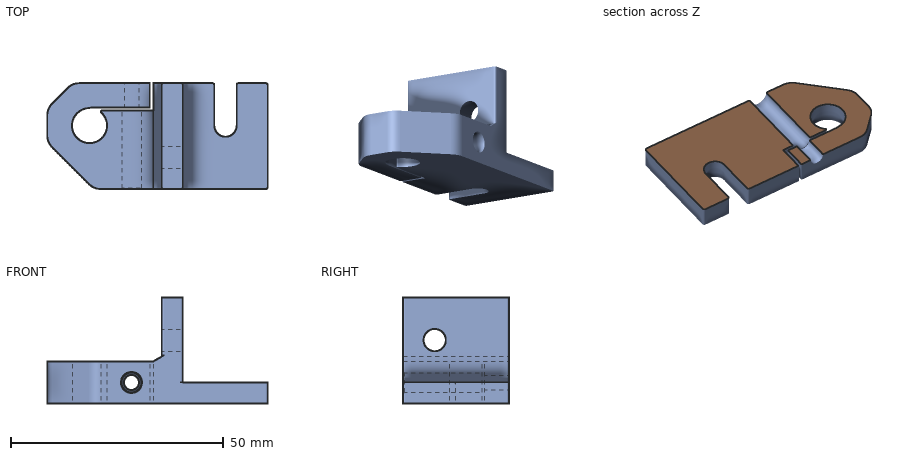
import cadquery as cq
import math

length = 52.0
width = 25.0
height = 25.0

block_height = 10.0
plate_height = 5.0
wall_x = 27.0
wall_thickness = 5.0
wall_end_x = wall_x + wall_thickness
edge_radius = 0.5

foot_x = 25.0
foot_rise = 1.15

front_corner = 11.0
back_corner = 6.0
corner_radius = 4.0

bore_x = 10.0
bore_y = 15.0
bore_diameter = 8.2
slit_width = 0.6
slit_step = 0.1
slit_back_y = bore_y + bore_diameter / 2 + slit_step
slit_lead_in = 0.35
slit_front_y = slit_back_y - slit_width
arm_gap = 0.8
lip_radius = 0.3

screw_x = 19.85
screw_z = block_height / 2
screw_clearance_diameter = 4.7
screw_arm_diameter = 3.5
screw_rim_diameter = 5.0
screw_rim_depth = 0.3

mount_diameter = 5.2
wall_hole_y = 7.5
wall_hole_z = 15.0
slot_x = 42.0
slot_end_y = 15.0


def box(x_min, x_max, y_min, y_max, z_max):
    """Box standing on the bottom plane."""
    size_x = x_max - x_min
    size_y = y_max - y_min
    return cq.Workplane("XY").box(size_x, size_y, z_max, centered=False).translate((x_min, y_min, 0))


def cylinder_along_y(diameter, y_start, y_end):
    """Cylinder on the clamp screw axis."""
    axis = cq.Vector(0, 1, 0)
    start = cq.Vector(screw_x, y_start, screw_z)
    return cq.Workplane(cq.Solid.makeCylinder(diameter / 2, y_end - y_start, start, axis))


def make_clamp_block():
    """Block with rounded 45 degree corners, reaching into the wall."""
    block_end_x = wall_end_x - edge_radius
    outline = [
        (0, front_corner),
        (front_corner, 0),
        (block_end_x, 0),
        (block_end_x, width),
        (back_corner, width),
        (0, width - back_corner),
    ]
    block = cq.Workplane("XY").polyline(outline).close().extrude(block_height)
    return block.edges("|Z").filter(lambda edge: edge.Center().x < wall_x).fillet(corner_radius)


def make_plate():
    """Base plate with an open slot and rounded outer corners."""
    plate = box(wall_x, length, 0, width, plate_height)
    slot_radius = mount_diameter / 2
    slot = box(slot_x - slot_radius, slot_x + slot_radius, slot_end_y, width, plate_height)
    slot_end = cq.Workplane("XY").center(slot_x, slot_end_y).circle(slot_radius).extrude(plate_height)
    plate = plate.cut(slot).cut(slot_end)
    slot_mouth = plate.edges("|Z and >Y").filter(lambda edge: wall_end_x < edge.Center().x < length)
    return slot_mouth.fillet(edge_radius).edges("|Z and >X").fillet(edge_radius)


def make_wall():
    """Upright wall with rounded vertical edges; the block and plate keep square ones below it."""
    wall = box(wall_x, wall_end_x, 0, width, height).edges("|Z").fillet(edge_radius)
    wall_root = box(wall_x, wall_end_x, 0, width, plate_height)
    hole = (
        cq.Workplane("YZ", origin=(wall_x, wall_hole_y, wall_hole_z))
        .circle(mount_diameter / 2)
        .extrude(wall_thickness)
    )
    return wall.union(wall_root).cut(hole)


def make_foot():
    """Slope carried on under the rounded wall edge."""
    slope = foot_rise / (wall_x - foot_x)
    foot_end_x = wall_x + edge_radius
    foot_top = block_height + slope * (foot_end_x - foot_x)
    profile = [
        (foot_x, block_height),
        (foot_end_x, foot_top),
        (foot_end_x, block_height),
    ]
    return cq.Workplane("XZ").polyline(profile).close().extrude(-width)


def make_clamp_cut():
    """Bore, slit and end gap as one cut, with the slit lip rounded where it meets the bore."""
    bore = cq.Workplane("XY").center(bore_x, bore_y).circle(bore_diameter / 2).extrude(block_height)
    lead_start_x = bore_x - slit_lead_in
    lead_start_y = bore_y + math.sqrt(bore_diameter**2 / 4 - slit_lead_in**2)
    slit_outline = [
        (lead_start_x, lead_start_y),
        (bore_x + slit_lead_in, slit_back_y),
        (foot_x, slit_back_y),
        (foot_x, slit_front_y),
        (lead_start_x, slit_front_y),
    ]
    slit = cq.Workplane("XY").polyline(slit_outline).close().extrude(block_height)
    gap = box(foot_x - arm_gap, foot_x, slit_front_y, width, block_height)
    lip_reach = math.sqrt(bore_diameter**2 / 4 - (slit_front_y - bore_y) ** 2)
    lip = cq.selectors.NearestToPointSelector((bore_x + lip_reach, slit_front_y, block_height / 2))
    return bore.union(slit).union(gap).edges("|Z").edges(lip).fillet(lip_radius)


def make_screw_hole():
    """Clamp screw hole with a conical entry rim."""
    clearance = cylinder_along_y(screw_clearance_diameter, 0, slit_back_y)
    arm_hole = cylinder_along_y(screw_arm_diameter, 0, width)
    rim = cq.Workplane(
        cq.Solid.makeCone(
            screw_rim_diameter / 2,
            screw_clearance_diameter / 2,
            screw_rim_depth,
            cq.Vector(screw_x, 0, screw_z),
            cq.Vector(0, 1, 0),
        )
    )
    return clearance.union(arm_hole).union(rim)


body = make_clamp_block().union(make_plate()).union(make_wall()).union(make_foot())
result = body.cut(make_clamp_cut()).cut(make_screw_hole())